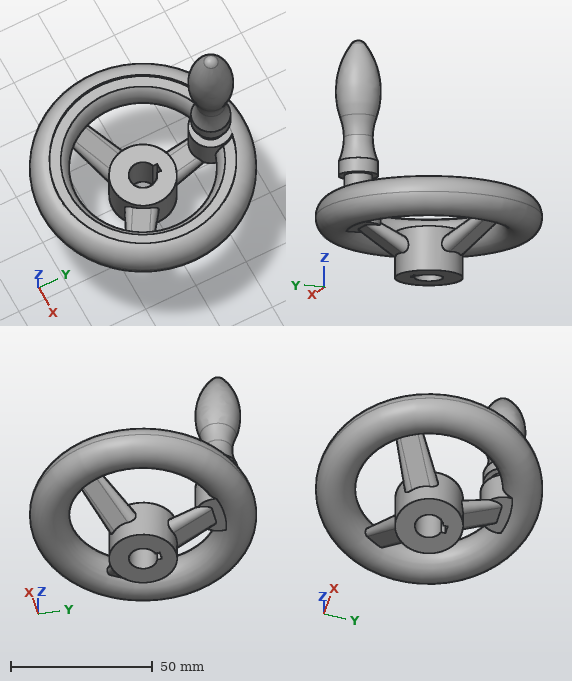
import cadquery as cq
import math

full_turn = 360.0

rim_diameter = 80.0
rim_section_radius = 7.0
rim_mid_z = 22.0
rim_crest_radius = rim_diameter / 2 - rim_section_radius
rim_top_z = rim_mid_z + rim_section_radius
recess_inner_radius = 29.0
recess_floor_z = rim_mid_z + math.sqrt(rim_section_radius**2 - (rim_crest_radius - recess_inner_radius) ** 2)

hub_diameter = 24.0
hub_height = 16.0
bore_diameter = 10.0
keyway_width = 3.0
keyway_top_y = 6.4

spoke_count = 3
first_spoke_angle = 90.0
spoke_start_radius = 8.0
spoke_start_z = 8.6
spoke_end_inset = 1.5
spoke_end_radius = rim_crest_radius - spoke_end_inset
spoke_slope = 28.0
spoke_flat_width = 6.5
spoke_start_edge_radius = 3.0
spoke_taper = 3.7

handle_y = 27.0
boss_diameter = 16.0
boss_bottom_z = hub_height

overall_height = 83.49
shank_radius = 5.0
collar_radius = 7.0
handle_length = 49.0
collar_height = 5.0
collar_bottom_z = overall_height - handle_length
collar_top_z = collar_bottom_z + collar_height
waist_radius = 5.15
waist_z = 48.4
grip_start_radius = 6.4
grip_start_z = 55.5
grip_radius = 8.0
grip_widest_z = 65.3
tip_radius = 2.5
tip_base_z = 82.2


def make_rim():
    section = cq.Workplane("XZ").center(rim_crest_radius, rim_mid_z).circle(rim_section_radius)
    ring = section.revolve(full_turn, (-rim_crest_radius, 0), (-rim_crest_radius, 1))
    recess = (
        cq.Workplane("XY")
        .workplane(offset=recess_floor_z)
        .circle(rim_crest_radius)
        .extrude(rim_top_z - recess_floor_z)
    )
    return ring.cut(recess)


def make_hub():
    return cq.Workplane("XY").circle(hub_diameter / 2).extrude(hub_height)


def cut_bore(body):
    bore = cq.Workplane("XY").circle(bore_diameter / 2).extrude(hub_height)
    keyway = cq.Workplane("XY").box(keyway_width, keyway_top_y, hub_height, centered=(True, False, False))
    return body.cut(bore.union(keyway))


def make_spoke(angle):
    slope = math.radians(spoke_slope)
    start_plane = cq.Plane(
        origin=(spoke_start_radius, 0, spoke_start_z),
        xDir=(0, 1, 0),
        normal=(math.cos(slope), 0, math.sin(slope)),
    )
    length = (spoke_end_radius - spoke_start_radius) / math.cos(slope)
    bar = (
        cq.Workplane(start_plane)
        .slot2D(spoke_flat_width + 2 * spoke_start_edge_radius, 2 * spoke_start_edge_radius)
        .extrude(length, taper=spoke_taper)
    )
    return bar.rotate((0, 0, 0), (0, 0, 1), angle)


def make_boss():
    """Upright post, trimmed on its outer side along the crest of the rim."""
    height = rim_top_z - boss_bottom_z
    post = cq.Workplane("XY", origin=(0, handle_y, boss_bottom_z)).circle(boss_diameter / 2).extrude(height)
    inside_crest = cq.Workplane("XY", origin=(0, 0, boss_bottom_z)).circle(rim_crest_radius).extrude(height)
    return post.intersect(inside_crest)


def waist_arc_point(end_radius, end_z):
    """Middle point of an arc from the waist, where it runs parallel to the axis, to the given end."""
    rise = end_radius - waist_radius
    run = abs(end_z - waist_z)
    arc_radius = (rise**2 + run**2) / (2 * rise)
    half_angle = math.asin(run / arc_radius) / 2
    direction = math.copysign(1, end_z - waist_z)
    return (
        waist_radius + arc_radius * (1 - math.cos(half_angle)),
        waist_z + direction * arc_radius * math.sin(half_angle),
    )


def make_handle():
    tip_height = overall_height - tip_base_z
    tip_sphere_radius = (tip_radius**2 + tip_height**2) / (2 * tip_height)
    half_angle = math.asin(tip_radius / tip_sphere_radius) / 2
    tip_arc_point = (
        tip_sphere_radius * math.sin(half_angle),
        overall_height - tip_sphere_radius * (1 - math.cos(half_angle)),
    )
    profile = (
        cq.Workplane("XZ", origin=(0, handle_y, 0))
        .moveTo(0, boss_bottom_z)
        .lineTo(shank_radius, boss_bottom_z)
        .lineTo(shank_radius, collar_bottom_z)
        .lineTo(collar_radius, collar_bottom_z)
        .lineTo(collar_radius, collar_top_z)
        .threePointArc(waist_arc_point(collar_radius, collar_top_z), (waist_radius, waist_z))
        .threePointArc(waist_arc_point(grip_start_radius, grip_start_z), (grip_start_radius, grip_start_z))
        .threePointArc((grip_radius, grip_widest_z), (tip_radius, tip_base_z))
        .threePointArc(tip_arc_point, (0, overall_height))
        .close()
    )
    return profile.revolve(full_turn, (0, 0), (0, 1))


wheel = make_rim().union(make_hub())
for index in range(spoke_count):
    wheel = wheel.union(make_spoke(first_spoke_angle + index * full_turn / spoke_count))
wheel = wheel.union(make_boss()).union(make_handle())
result = cut_bore(wheel).solids()